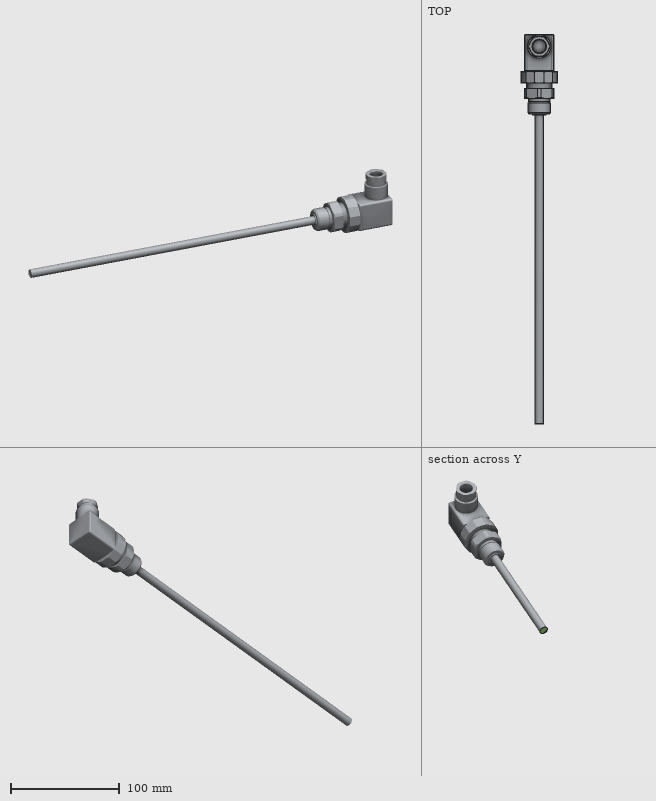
import cadquery as cq
import math

total_length = 358.36
top_height = 35.86
hexagon_sides = 6

housing_width = 27.0
housing_fillet = 2.0
housing_length = 33.2
back_chamfer_length = 1.3
back_chamfer_depth = 0.4

outlet_diameter = 21.6
outlet_top = 26.1
outlet_axis = outlet_diameter / 2
cap_flats = 18.2
cap_corner_diameter = 19.4
cap_height = 5.3
cable_hole_diameter = 12.0
cable_hole_depth = 12.0
cable_hole_chamfer = 0.6

nut_start = 33.9
nut_end = 44.4
nut_flats = 33.5
nut_sides = 12
nut_end_chamfer = 0.4

neck_diameter = 23.5

hexagon_start = 49.7
hexagon_end = 58.7
hexagon_flats = 27.0
hexagon_corner_diameter = 29.5
hexagon_chamfer = 1.0

shoulder_diameter = 20.0
shoulder_end = 61.3
groove_diameter = 18.6
groove_end = 62.7
thread_diameter = 20.95
thread_end = 73.1
thread_end_taper = 1.6

collar_diameter = 12.4
collar_end = 73.7
collar_bore_diameter = 10.0

rod_diameter = 8.0
tip_recess_diameter = 6.8
tip_recess_depth = 0.5


def rod_plane(station):
    """Plane square to the rod, facing the tip, with local X along X and local Y along Z."""
    return cq.Workplane("XZ", origin=(0, -station, 0))


def outlet_plane(height):
    """Horizontal plane centred on the outlet axis."""
    return cq.Workplane("XY", origin=(0, -outlet_axis, height))


def cylinder(start, end, diameter):
    return rod_plane(start).circle(diameter / 2).extrude(end - start)


def polygon(plane, sides, flats, first_corner_angle):
    """Regular polygon sketch of the given width across flats on the plane."""
    corner_radius = flats / 2 / math.cos(math.pi / sides)
    corners = []
    for i in range(sides):
        angle = math.radians(first_corner_angle) + 2 * math.pi * i / sides
        corners.append((corner_radius * math.cos(angle), corner_radius * math.sin(angle)))
    return plane.polyline(corners).close()


def make_housing():
    block = rod_plane(0).rect(housing_width, housing_width).extrude(housing_length)
    block = block.edges("|Y").fillet(housing_fillet)
    return block.faces(">Y").chamfer(back_chamfer_length, back_chamfer_depth)


def make_outlet():
    tower = outlet_plane(0).circle(outlet_diameter / 2).extrude(outlet_top)
    neck = outlet_plane(outlet_top).circle(cap_flats / 2).extrude(top_height - outlet_top)
    cap_bottom = top_height - cap_height
    cap = polygon(outlet_plane(cap_bottom), hexagon_sides, cap_flats, 0).extrude(cap_height)
    envelope = outlet_plane(cap_bottom).circle(cap_corner_diameter / 2).extrude(cap_height)
    cap = cap.intersect(envelope)
    return tower.union(neck).union(cap)


def make_union_nut():
    length = nut_end - nut_start
    nut = polygon(rod_plane(nut_start), nut_sides, nut_flats, 180 / nut_sides).extrude(length)
    corner_diameter = nut_flats / math.cos(math.pi / nut_sides)
    envelope = cylinder(nut_start, nut_end, corner_diameter).edges().chamfer(nut_end_chamfer)
    return nut.intersect(envelope)


def make_hexagon():
    length = hexagon_end - hexagon_start
    hexagon = polygon(rod_plane(hexagon_start), hexagon_sides, hexagon_flats, 90).extrude(length)
    envelope = cylinder(hexagon_start, hexagon_end, hexagon_corner_diameter)
    envelope = envelope.faces("<Y").chamfer(hexagon_chamfer)
    return hexagon.intersect(envelope)


def make_thread():
    shoulder = cylinder(hexagon_end, shoulder_end, shoulder_diameter)
    groove = cylinder(shoulder_end, groove_end, groove_diameter)
    thread = cylinder(groove_end, thread_end, thread_diameter)
    taper_height = (thread_diameter - groove_diameter) / 2
    thread = thread.faces("<Y").chamfer(thread_end_taper, taper_height)
    return shoulder.union(groove).union(thread)


def make_collar():
    ring = cylinder(thread_end, collar_end, collar_diameter)
    return ring.cut(cylinder(thread_end, collar_end, collar_bore_diameter))


def make_rod():
    rod = cylinder(hexagon_end, total_length, rod_diameter)
    return rod.cut(cylinder(total_length - tip_recess_depth, total_length, tip_recess_diameter))


def make_cable_hole():
    hole_radius = cable_hole_diameter / 2
    hole = outlet_plane(top_height).circle(hole_radius).extrude(-cable_hole_depth)
    mouth_radius = hole_radius + cable_hole_chamfer
    mouth = outlet_plane(top_height).circle(mouth_radius).extrude(-mouth_radius, taper=45)
    return hole.union(mouth)


result = (
    make_housing()
    .union(make_outlet())
    .union(make_union_nut())
    .union(cylinder(housing_length, hexagon_start, neck_diameter))
    .union(make_hexagon())
    .union(make_thread())
    .union(make_collar())
    .union(make_rod())
    .cut(make_cable_hole())
)